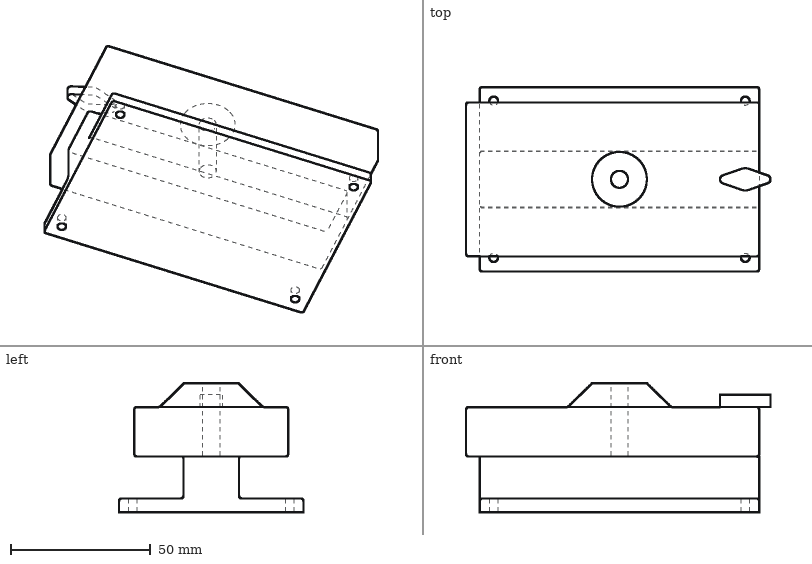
import cadquery as cq
import math

edge_round = 1.0
edge_inset = 5.0

base_length = 100.1
base_width = 66.0
flange_thickness = 5.0
stem_width = 20.0
stem_top = 20.0
flare_start = 19.3
mounting_hole_diameter = 3.0

housing_length = 105.0
housing_width = 55.2
housing_height = 17.8
total_height = 46.2
boss_bottom_diameter = 37.1
boss_top_diameter = 19.6
bore_diameter = 6.1

lever_length = 18.1
lever_width = 8.0
lever_thickness = 4.5
lever_tip_radius = 1.5

base_end = base_length / 2
housing_center_x = base_end - housing_length / 2
housing_top = stem_top + housing_height
hole_x = base_end - edge_inset
hole_y = base_width / 2 - edge_inset


def make_base():
    """T-section rail with rounded edges, a flared stem top and four mounting holes."""
    half_width = base_width / 2
    half_stem = stem_width / 2
    flare_height = stem_top - flare_start
    flare_reach = edge_round - math.sqrt(edge_round**2 - flare_height**2)
    base = (
        cq.Workplane("YZ", origin=(-base_end, 0, 0))
        .lineTo(half_width, 0)
        .lineTo(half_width, flange_thickness)
        .lineTo(half_stem + edge_round, flange_thickness)
        .radiusArc((half_stem, flange_thickness + edge_round), edge_round)
        .lineTo(half_stem, flare_start)
        .radiusArc((half_stem + flare_reach, stem_top), edge_round)
        .lineTo(0, stem_top)
        .mirrorY()
        .extrude(base_length)
    )
    end_edges = base.edges("(<X or >X) and (not (<Z or >Z))")
    long_edges = base.edges("(<Y or >Y) and |X and (not <Z)")
    base = end_edges.add(long_edges).fillet(edge_round)
    holes = (
        cq.Workplane("XY")
        .rect(2 * hole_x, 2 * hole_y, forConstruction=True)
        .vertices()
        .circle(mounting_hole_diameter / 2)
        .extrude(flange_thickness)
    )
    return base.cut(holes)


def make_housing():
    """Rounded block, a conical boss blended into its top, and a bore down to the stem."""
    block = (
        cq.Workplane("XY", origin=(housing_center_x, 0, stem_top))
        .box(housing_length, housing_width, housing_height, centered=(True, True, False))
        .edges()
        .fillet(edge_round)
    )
    boss = cq.Workplane(
        cq.Solid.makeCone(
            boss_bottom_diameter / 2,
            boss_top_diameter / 2,
            total_height - housing_top,
            pnt=cq.Vector(0, 0, housing_top),
        )
    )
    foot_margin = boss_bottom_diameter / 2 + edge_round
    boss_foot = cq.selectors.BoxSelector(
        (-foot_margin, -foot_margin, housing_top - edge_round),
        (foot_margin, foot_margin, housing_top + edge_round),
    )
    housing = block.union(boss).edges(boss_foot).edges("%CIRCLE").fillet(edge_round)
    bore = cq.Workplane("XY").circle(bore_diameter / 2).extrude(total_height)
    return housing.cut(bore)


def make_lever():
    """Flat lozenge lying on the housing: four flats tangent to a middle round and two tip rounds."""
    middle_radius = lever_width / 2
    tip_center = lever_length / 2 - lever_tip_radius
    lean = math.asin((middle_radius - lever_tip_radius) / tip_center)
    middle_x = middle_radius * math.sin(lean)
    middle_y = middle_radius * math.cos(lean)
    tip_x = tip_center + lever_tip_radius * math.sin(lean)
    tip_y = lever_tip_radius * math.cos(lean)
    return (
        cq.Workplane("XY", origin=(hole_x, 0, housing_top))
        .moveTo(-middle_x, middle_y)
        .threePointArc((0, middle_radius), (middle_x, middle_y))
        .lineTo(tip_x, tip_y)
        .threePointArc((lever_length / 2, 0), (tip_x, -tip_y))
        .lineTo(middle_x, -middle_y)
        .threePointArc((0, -middle_radius), (-middle_x, -middle_y))
        .lineTo(-tip_x, -tip_y)
        .threePointArc((-lever_length / 2, 0), (-tip_x, tip_y))
        .close()
        .extrude(lever_thickness)
    )


base = make_base()
housing = make_housing()
lever = make_lever()

result = cq.Compound.makeCompound([base.val(), housing.val(), lever.val()])